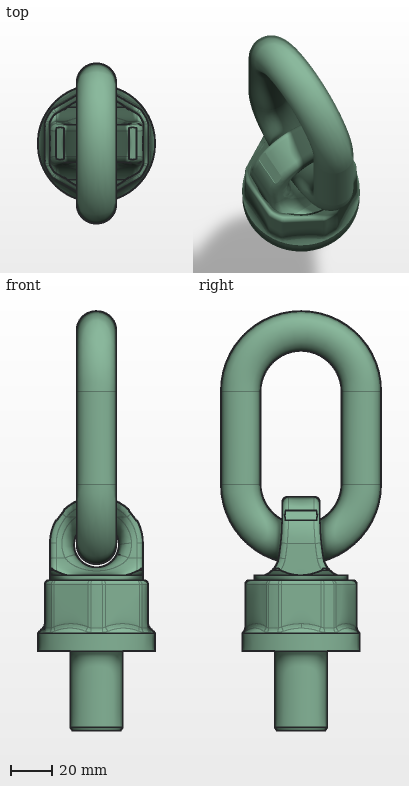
import cadquery as cq
import math

TOTAL_HEIGHT = 203.2
FLANGE_BOTTOM = 38.5
FLANGE_TOP = 47.3
HEX_TOP = 73.0
COLLAR_TOP = 75.4
EYE_TOP = 113.4

SHANK_RADIUS = 12.8
SHANK_END_INSET = 1.2
SHANK_END_HEIGHT = 1.8
FLANGE_RADIUS = 28.5
HEX_ACROSS_FLATS = 50.0
HEX_CORNER_RADIUS = 27.0
HEX_EDGE_FILLET = 4.0
HEX_TOP_FILLET = 2.0
FLANGE_FILLET = 3.0

LABEL_WIDTH = 16.7
LABEL_BOTTOM = 56.5
LABEL_TOP = 66.6
LABEL_DEPTH = 1.6
LABEL_CORNER = 2.0
LABEL_FLOOR_FILLET = 1.6

COLLAR_RADIUS = 22.5
EYE_HALF_THICKNESS = 9.1
FLARE_TOP = 103.6
NECK_HALF_THICKNESS = 10.8
NECK_HEIGHT = 84.0
TOE_HALF_THICKNESS = 17.5
CLIP_RADIUS = 24.8
CLIP_TOP = 77.8
EYE_EDGE_FILLET = 3.0
EYE_HOLE_RADIUS = 10.8
EYE_HOLE_HEIGHT = 90.0
EYE_HOLE_FILLET = 6.0
EYE_ARC_HEIGHT = EYE_TOP - COLLAR_RADIUS
SHOULDER_ANGLE = 37.5
SHOULDER_WIDTH = 6.0
SHOULDER_DEPTH = 0.5

LINK_WIDTH = 77.6
LINK_WIRE_DIAMETER = 19.3
LINK_STRAIGHT = 44.9

TOLERANCE = 0.02


def base_body():
    """Shank, flange and hexagon in one piece, with the recess for a label."""
    shank = (
        cq.Workplane("XZ")
        .polyline([
            (0, 0),
            (SHANK_RADIUS - SHANK_END_INSET, 0),
            (SHANK_RADIUS, SHANK_END_HEIGHT),
            (SHANK_RADIUS, FLANGE_BOTTOM),
            (0, FLANGE_BOTTOM),
        ])
        .close()
        .revolve(360, (0, 0, 0), (0, 1, 0))
    )
    return hexagon_on_flange().union(shank).cut(label_recess())


def hexagon_on_flange():
    """Hexagon with turned corners that runs into the 45 degree cone of the flange."""
    across_corners = HEX_ACROSS_FLATS / math.cos(math.pi / 6)
    height = HEX_TOP - FLANGE_BOTTOM
    base_plane = cq.Workplane("XY").workplane(offset=FLANGE_BOTTOM)
    corner_cylinder = base_plane.circle(HEX_CORNER_RADIUS).extrude(height)
    hexagon = (
        base_plane.transformed(rotate=(0, 0, 90))
        .polygon(6, across_corners)
        .extrude(height)
        .intersect(corner_cylinder)
        .edges("|Z")
        .fillet(HEX_EDGE_FILLET)
        .faces(">Z")
        .edges()
        .fillet(HEX_TOP_FILLET)
    )
    cone_top = HEX_TOP - HEX_TOP_FILLET
    cone_top_radius = FLANGE_RADIUS - (cone_top - FLANGE_TOP)
    flange = (
        cq.Workplane("XZ")
        .polyline([
            (0, FLANGE_BOTTOM),
            (FLANGE_RADIUS, FLANGE_BOTTOM),
            (FLANGE_RADIUS, FLANGE_TOP),
            (cone_top_radius, cone_top),
            (0, cone_top),
        ])
        .close()
        .revolve(360, (0, 0, 0), (0, 1, 0))
    )
    body = hexagon.union(flange)
    return body.edges("%HYPERBOLA").fillet(FLANGE_FILLET)


def label_recess():
    """Shallow pocket with a rounded floor edge on the sides and top and a sharp ledge below."""
    flat_x = HEX_ACROSS_FLATS / 2
    label_height = LABEL_TOP - LABEL_BOTTOM
    return (
        cq.Workplane("XY")
        .box(2 * LABEL_DEPTH, LABEL_WIDTH, label_height)
        .edges("|X and >Z")
        .fillet(LABEL_CORNER)
        .faces(">X")
        .edges("not <Z")
        .fillet(LABEL_FLOOR_FILLET)
        .translate((-flat_x, 0, (LABEL_TOP + LABEL_BOTTOM) / 2))
    )


class OutlineEdges(cq.Selector):
    """Edges around the front and back outline of the uncut ring, above the collar."""

    def filter(self, objectList):
        def on_outline(edge):
            crosses_face = edge.geomType() == "LINE" and edge.BoundingBox().xlen > COLLAR_RADIUS
            off_centre = abs(edge.Center().y) > EYE_HALF_THICKNESS / 2
            return off_centre and edge.Center().z > COLLAR_TOP and not crosses_face

        return [edge for edge in objectList if on_outline(edge)]


class RimEdges(cq.Selector):
    """Edges where the hole meets the front and back faces of the ring."""

    def filter(self, objectList):
        def on_rim(edge):
            at_hole = True
            for point in (edge.startPoint(), edge.endPoint()):
                radius = math.hypot(point.x, point.z - EYE_HOLE_HEIGHT)
                at_hole = at_hole and abs(radius - EYE_HOLE_RADIUS) < TOLERANCE
            return at_hole and edge.geomType() != "LINE"

        return [edge for edge in objectList if on_rim(edge)]


def eye_body():
    """Round collar and the flared ring that stands on it, in one piece."""
    eye_hole = (
        cq.Workplane("XZ")
        .center(0, EYE_HOLE_HEIGHT)
        .circle(EYE_HOLE_RADIUS)
        .extrude(COLLAR_RADIUS, both=True)
    )
    ring = eye_flare().intersect(eye_arch())
    ring = ring.edges(OutlineEdges()).fillet(EYE_EDGE_FILLET)
    ring = ring.cut(eye_hole).edges(RimEdges()).fillet(EYE_HOLE_FILLET)
    for side in (-1, 1):
        ring = ring.cut(shoulder_cutter(side))
    collar = (
        cq.Workplane("XY")
        .workplane(offset=HEX_TOP)
        .circle(COLLAR_RADIUS)
        .extrude(COLLAR_TOP - HEX_TOP)
    )
    return ring.intersect(clip_cone()).union(collar)


def eye_arch():
    """Arched front outline of the eye, as deep as the collar."""
    return (
        cq.Workplane("XZ")
        .moveTo(-COLLAR_RADIUS, HEX_TOP)
        .lineTo(COLLAR_RADIUS, HEX_TOP)
        .lineTo(COLLAR_RADIUS, EYE_ARC_HEIGHT)
        .threePointArc((0, EYE_TOP), (-COLLAR_RADIUS, EYE_ARC_HEIGHT))
        .close()
        .extrude(COLLAR_RADIUS, both=True)
    )


def eye_flare():
    """Side profile of the eye, widening in two tangent arcs from the ring to the collar."""
    half = (
        cq.Workplane("YZ")
        .moveTo(0, EYE_TOP)
        .lineTo(EYE_HALF_THICKNESS, EYE_TOP)
        .lineTo(EYE_HALF_THICKNESS, FLARE_TOP)
        .tangentArcPoint((NECK_HALF_THICKNESS, NECK_HEIGHT), relative=False)
        .tangentArcPoint((TOE_HALF_THICKNESS, COLLAR_TOP), relative=False)
        .lineTo(TOE_HALF_THICKNESS, HEX_TOP)
        .lineTo(0, HEX_TOP)
        .close()
        .extrude(COLLAR_RADIUS, both=True)
    )
    return half.union(half.mirror("XZ")).clean()


def shoulder_cutter(side):
    """Block that cuts the flat on one shoulder of the arch; side is -1 or 1 along X."""
    flat_distance = COLLAR_RADIUS - SHOULDER_DEPTH
    elevation = SHOULDER_ANGLE if side > 0 else 180 - SHOULDER_ANGLE
    return (
        cq.Workplane("XY")
        .box(COLLAR_RADIUS, 2 * COLLAR_RADIUS, SHOULDER_WIDTH)
        .translate((flat_distance + COLLAR_RADIUS / 2, 0, 0))
        .rotate((0, 0, 0), (0, 1, 0), -elevation)
        .translate((0, 0, EYE_ARC_HEIGHT))
    )


def clip_cone():
    """Cone that trims the foot of the flare to the collar and clears the ring above."""
    return (
        cq.Workplane("XZ")
        .polyline([
            (0, HEX_TOP),
            (COLLAR_RADIUS, HEX_TOP),
            (COLLAR_RADIUS, COLLAR_TOP),
            (CLIP_RADIUS, CLIP_TOP),
            (CLIP_RADIUS, EYE_TOP),
            (0, EYE_TOP),
        ])
        .close()
        .revolve(360, (0, 0, 0), (0, 1, 0))
    )


def link_body():
    """Oval link of round wire in the YZ plane."""
    bend = (LINK_WIDTH - LINK_WIRE_DIAMETER) / 2
    upper = TOTAL_HEIGHT - LINK_WIDTH / 2
    lower = upper - LINK_STRAIGHT
    path = (
        cq.Workplane("YZ")
        .moveTo(bend, lower)
        .lineTo(bend, upper)
        .threePointArc((0, upper + bend), (-bend, upper))
        .lineTo(-bend, lower)
        .threePointArc((0, lower - bend), (bend, lower))
        .close()
    )
    wire_section = cq.Workplane("XY", origin=(0, bend, lower)).circle(LINK_WIRE_DIAMETER / 2)
    return wire_section.sweep(path)


base = base_body()
eye = eye_body()
link = link_body()
result = cq.Compound.makeCompound([base.solids().val(), eye.solids().val(), link.val()])